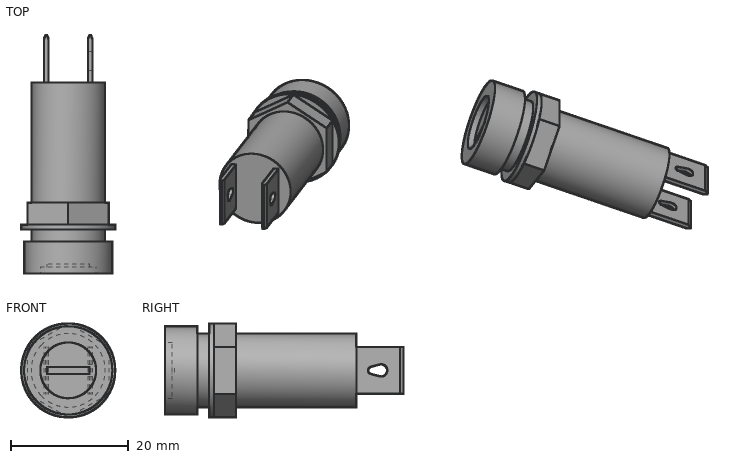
import cadquery as cq
import math

total_length = 40.55
cap_end = 5.5
washer_start = 7.5
nut_start = 8.35
nut_end = 12.1
body_end = 32.52

cap_diameter = 15.0
body_diameter = 12.57
washer_diameter = 16.0
nut_across_corners = 15.98

recess_diameter = 9.5
recess_depth = 1.18
slot_length = 7.2
slot_width = 1.2
slot_depth = 0.5

blade_spacing = 7.45
blade_thickness = 0.8
blade_width = 8.0
tip_length = 0.65
tip_thickness = 0.25

hole_wide_radius = 1.0
hole_narrow_radius = 0.6
hole_wide_y = total_length - 3.8
hole_narrow_y = total_length - 5.4


def plane_at(y):
    """Plane across the axis at y, with its normal along +Y."""
    return cq.Workplane("XZ", origin=(0, y, 0)).transformed(rotate=(180, 0, 0))


def cylinder(diameter, start, end):
    return plane_at(start).circle(diameter / 2).extrude(end - start)


def hex_nut():
    """Hexagonal nut with corners pointing along +Z and -Z."""
    hexagon = plane_at(nut_start).transformed(rotate=(0, 0, 90)).polygon(6, nut_across_corners)
    return hexagon.extrude(nut_end - nut_start)


def cap_recess():
    """Round recess with a straight screwdriver slot in its floor."""
    recess = cylinder(recess_diameter, 0, recess_depth)
    slot = plane_at(recess_depth).rect(slot_length, slot_width).extrude(slot_depth)
    return recess.union(slot)


def blade_hole(center_x):
    """Teardrop cutter: two arcs joined by their common tangents."""
    spread = hole_wide_y - hole_narrow_y
    sine = (hole_wide_radius - hole_narrow_radius) / spread
    cosine = math.sqrt(1 - sine**2)
    wide_y = hole_wide_y - hole_wide_radius * sine
    wide_z = hole_wide_radius * cosine
    narrow_y = hole_narrow_y - hole_narrow_radius * sine
    narrow_z = hole_narrow_radius * cosine
    return (
        cq.Workplane("YZ", origin=(center_x, 0, 0))
        .moveTo(wide_y, -wide_z)
        .threePointArc((hole_wide_y + hole_wide_radius, 0), (wide_y, wide_z))
        .lineTo(narrow_y, narrow_z)
        .threePointArc((hole_narrow_y - hole_narrow_radius, 0), (narrow_y, -narrow_z))
        .close()
        .extrude(blade_thickness, both=True)
    )


def terminal_blade(center_x):
    """Flat blade with a tapered tip and a teardrop hole."""
    half_thickness = blade_thickness / 2
    half_tip = tip_thickness / 2
    taper_start = total_length - tip_length
    outline = [
        (-half_thickness, body_end),
        (half_thickness, body_end),
        (half_thickness, taper_start),
        (half_tip, total_length),
        (-half_tip, total_length),
        (-half_thickness, taper_start),
    ]
    blade = (
        cq.Workplane("XY", origin=(center_x, 0, 0))
        .polyline(outline)
        .close()
        .extrude(blade_width / 2, both=True)
    )
    return blade.cut(blade_hole(center_x))


result = cylinder(body_diameter, 0, body_end)
result = result.union(cylinder(cap_diameter, 0, cap_end))
result = result.union(cylinder(washer_diameter, washer_start, nut_start))
result = result.union(hex_nut())
for side in (-1, 1):
    result = result.union(terminal_blade(side * blade_spacing / 2))
result = result.cut(cap_recess())